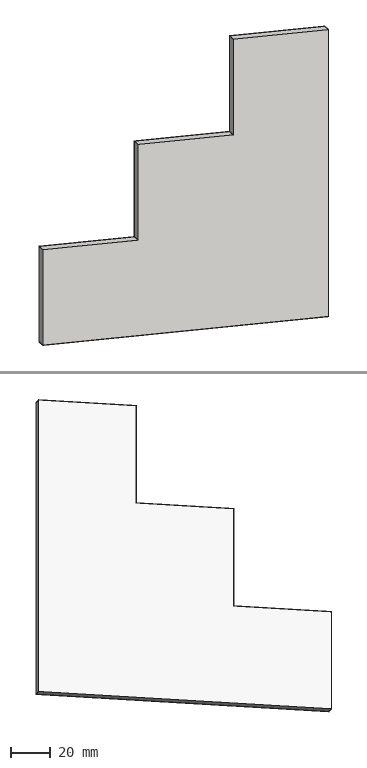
import cadquery as cq

plate_thickness = 6.16
step_size = 50.8
step_count = 3

side_length = step_count * step_size


def stair_profile():
    """Stair outline in the YZ plane, rising toward +Y, with its back corner at (side_length, 0)."""
    profile = cq.Workplane("YZ").moveTo(side_length, 0).lineTo(0, 0)
    for step in range(step_count):
        profile = profile.vLine(step_size).hLine(step_size)
    return profile.close()


result = stair_profile().extrude(plate_thickness)